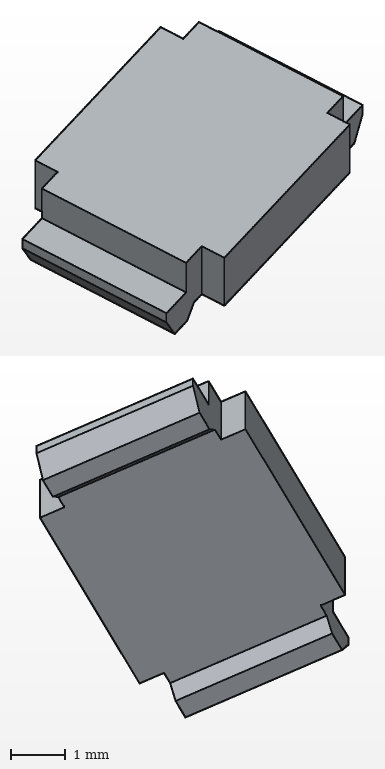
import cadquery as cq

total_length = 6.25
total_height = 1.6

body_width = 4.2
body_length = 4.0
neck_width = 3.2
neck_length = 5.0
body_height = 1.3

lip_top_depth = 0.8
lip_edge_height = 0.25
outer_taper = 0.26
foot_length = 0.4
inner_taper = 0.22


def top_aligned_block(width, length, height):
    """Block centred in X and Y and hanging down from Z = 0."""
    return cq.Workplane("XY").box(width, length, height, centered=(True, True, False)).translate(
        (0, 0, -height)
    )


def lip():
    """Lip at the +Y end, with a tapered foot below the body."""
    outer_y = total_length / 2
    foot_outer_y = outer_y - outer_taper
    foot_inner_y = foot_outer_y - foot_length
    root_y = foot_inner_y - inner_taper
    profile = [
        (root_y, -lip_top_depth),
        (outer_y, -lip_top_depth),
        (outer_y, -lip_top_depth - lip_edge_height),
        (foot_outer_y, -total_height),
        (foot_inner_y, -total_height),
        (root_y, -body_height),
    ]
    return cq.Workplane("YZ").polyline(profile).close().extrude(neck_width / 2, both=True)


body = top_aligned_block(body_width, body_length, body_height)
neck = top_aligned_block(neck_width, neck_length, body_height)
end_lip = lip()

result = body.union(neck).union(end_lip).union(end_lip.mirror("XZ")).clean()